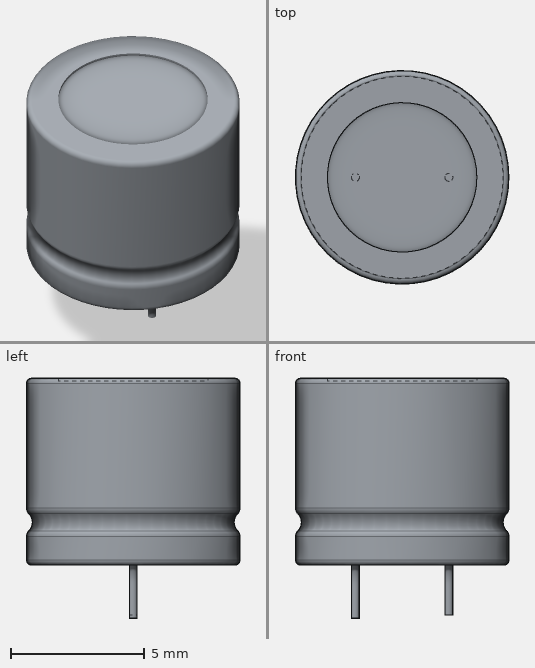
import cadquery as cq
import math

can_diameter = 8.0
can_height = 7.0
can_radius = can_diameter / 2
edge_radius = 0.2

groove_bottom = 1.07
groove_top = 2.14
groove_depth = 0.22
shoulder_radius = 0.3

recess_diameter = 5.6
recess_depth = 0.1

lead_diameter = 0.3
lead_spacing = 3.5
long_lead = 9 - can_height
short_lead = 1.87
lead_overlap = 0.09

groove_middle = (groove_bottom + groove_top) / 2
half_width = (groove_top - groove_bottom) / 2
shoulder_center = can_radius - shoulder_radius
floor_radius = can_radius - groove_depth
floor_offset = floor_radius - shoulder_center
roll_radius = (half_width**2 + floor_offset**2 - shoulder_radius**2) / (
    2 * (shoulder_radius - floor_offset)
)
roll_center = floor_radius + roll_radius
blend_angle = math.atan2(half_width, roll_center - shoulder_center)


def shoulder_point(angle, side):
    """Point on a shoulder; side is -1 for the lower and +1 for the upper one."""
    radius = shoulder_center + shoulder_radius * math.cos(angle)
    height = groove_middle + side * (half_width - shoulder_radius * math.sin(angle))
    return radius, height


def make_can():
    profile = (
        cq.Workplane("XZ")
        .lineTo(can_radius, 0)
        .lineTo(can_radius, groove_bottom)
        .threePointArc(shoulder_point(blend_angle / 2, -1), shoulder_point(blend_angle, -1))
        .threePointArc((floor_radius, groove_middle), shoulder_point(blend_angle, 1))
        .threePointArc(shoulder_point(blend_angle / 2, 1), (can_radius, groove_top))
        .lineTo(can_radius, can_height)
        .lineTo(0, can_height)
        .close()
    )
    can = profile.revolve(360, (0, 0, 0), (0, 1, 0))
    can = can.faces("<Z or >Z").edges().fillet(edge_radius)
    recess = (
        cq.Workplane("XY")
        .workplane(offset=can_height - recess_depth)
        .circle(recess_diameter / 2)
        .extrude(recess_depth)
    )
    return can.cut(recess)


def make_lead(x, length):
    """Round lead hanging below the can, rooted a little way into it."""
    return (
        cq.Workplane("XY")
        .workplane(offset=-length)
        .center(x, 0)
        .circle(lead_diameter / 2)
        .extrude(length + lead_overlap)
    )


result = make_can()
for lead_x, lead_length in ((-lead_spacing / 2, long_lead), (lead_spacing / 2, short_lead)):
    result = result.union(make_lead(lead_x, lead_length))